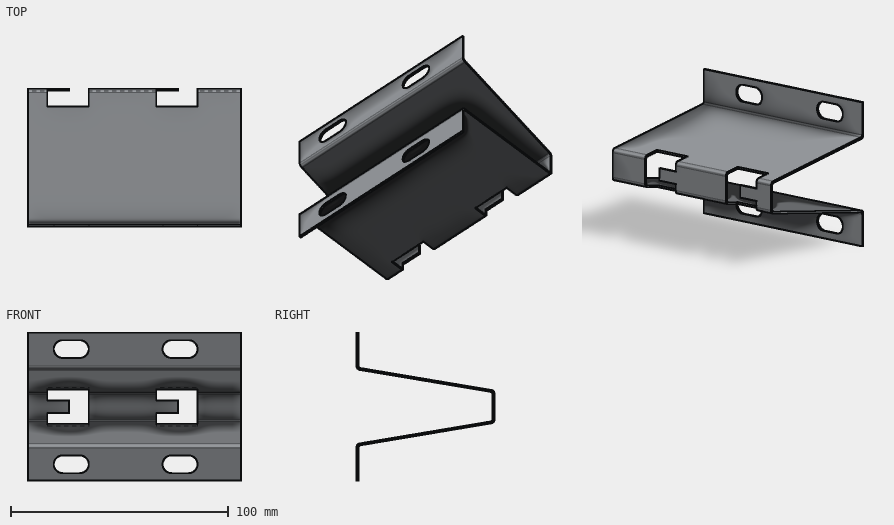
import cadquery as cq
import math

length = 98.0
depth = 63.5
height = 68.0

thickness = 1.0
outer_bend = 2.0
inner_bend = outer_bend - thickness
web_half_height = 7.4
mouth_half_height = 17.9

pitch = 50.0

notch_start = 9.0
notch_width = 18.9
notch_depth = 8.2
tab_length = 10.0
tab_height = 5.9

slot_start = 12.0
slot_length = 16.0
slot_width = 8.0
slot_height = 26.5

flange_back = thickness
slope = (mouth_half_height - web_half_height) / (depth - flange_back)
leg_rise = thickness * math.hypot(1, slope)


def leg_outer(y):
    """Height of the outer leg face above mid-height."""
    return web_half_height + slope * (depth - y)


def profile_points():
    """Sharp-cornered outline of the hat section, in (Y, Z)."""
    web_front = depth - thickness
    upper = [
        (web_front, leg_outer(web_front) - leg_rise),
        (0, leg_outer(0) - leg_rise),
        (0, height / 2),
        (flange_back, height / 2),
        (flange_back, leg_outer(flange_back)),
        (depth, leg_outer(depth)),
    ]
    lower = [(y, -z) for y, z in reversed(upper)]
    return upper + lower


def round_bend(body, y, z, radius):
    """Round the lengthwise edges at (y, +z) and (y, -z)."""
    margin = 0.01
    for side in (1, -1):
        corner = cq.selectors.BoxSelector(
            (-margin, y - margin, side * z - margin),
            (length + margin, y + margin, side * z + margin),
        )
        body = body.edges(corner).fillet(radius)
    return body


def bent_sheet():
    web_front = depth - thickness
    body = cq.Workplane("YZ").polyline(profile_points()).close().extrude(length)
    body = round_bend(body, depth, leg_outer(depth), outer_bend)
    body = round_bend(body, web_front, leg_outer(web_front) - leg_rise, inner_bend)
    body = round_bend(body, 0, leg_outer(0) - leg_rise, outer_bend)
    return round_bend(body, flange_back, leg_outer(flange_back), inner_bend)


def notch(x):
    """Cutter for one notch, leaving a tab of the web on its low-X side."""
    cutter = cq.Workplane().box(notch_width, notch_depth, height, centered=(False, False, True))
    tab = (
        cq.Workplane()
        .box(tab_length, thickness, tab_height, centered=(False, False, True))
        .translate((0, notch_depth - thickness, 0))
    )
    return cutter.cut(tab).translate((x, depth - notch_depth, 0))


def flange_slots(x):
    """Cutters for the two slots, one per flange, starting at x."""
    center = x + slot_length / 2
    return (
        cq.Workplane("XZ")
        .pushPoints([(center, slot_height), (center, -slot_height)])
        .slot2D(slot_length, slot_width)
        .extrude(-thickness)
    )


result = bent_sheet()
for offset in (0, pitch):
    result = result.cut(notch(notch_start + offset))
    result = result.cut(flange_slots(slot_start + offset))